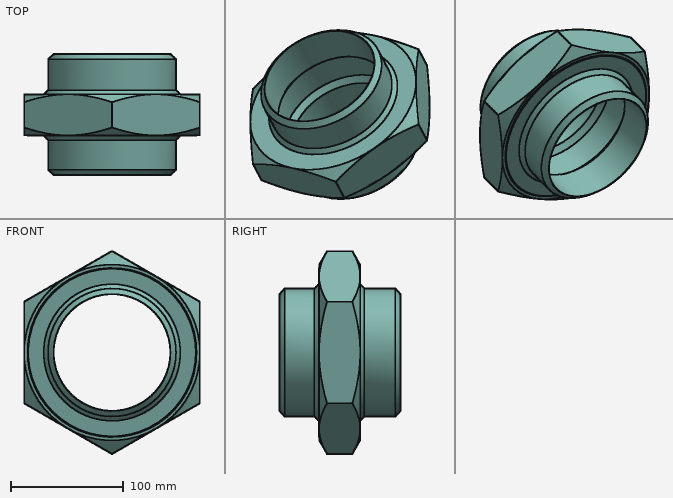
import cadquery as cq
import math

total_length = 108.0
across_flats = 157.0
corner_diameter = 181.13
pipe_diameter = 114.3
bore_diameter = 104.0

tip_land = 0.2
bevel_length = 4.65

collar_diameter = 122.0
collar_length = (collar_diameter - pipe_diameter) / 2

hex_front = -18.6
hex_back = 18.0
hex_chamfer_angle = 30.0
washer_face_base_diameter = 151.0
washer_face_diameter = 149.5
washer_face_height = 0.4

relief_diameter = 114.3
relief_flank = (relief_diameter - bore_diameter) / 2

end = total_length / 2
hex_chamfer_radius = across_flats / 2
corner_radius = corner_diameter / 2
washer_front = hex_front - washer_face_height


def revolve_profile(points):
    """Revolve a closed (radius, y) outline about the Y axis."""
    outline = cq.Workplane("XY").polyline(points).close()
    return outline.revolve(360, (0, 0, 0), (0, 1, 0))


def hexagon():
    """Hexagon with flats facing +X and -X, its corners turned down on both sides."""
    prism = (
        cq.Workplane("XZ", origin=(0, hex_back, 0))
        .polygon(6, across_flats / math.cos(math.radians(30)))
        .extrude(hex_back - hex_front)
        .rotate((0, 0, 0), (0, 1, 0), 30)
    )
    drop = (corner_radius - hex_chamfer_radius) * math.tan(math.radians(hex_chamfer_angle))
    turned_blank = revolve_profile([
        (0, hex_front),
        (hex_chamfer_radius, hex_front),
        (corner_radius, hex_front + drop),
        (corner_radius, hex_back - drop),
        (hex_chamfer_radius, hex_back),
        (0, hex_back),
    ])
    return prism.intersect(turned_blank)


def washer_face():
    """Thin raised disc with a tapered edge on the front of the hexagon."""
    return revolve_profile([
        (0, washer_front),
        (washer_face_diameter / 2, washer_front),
        (washer_face_base_diameter / 2, hex_front),
        (0, hex_front),
    ])


def pipe_end(seat, direction):
    """Pipe end with collar, from the face at y = seat outward along direction (+1 or -1)."""
    pipe_radius = pipe_diameter / 2
    tip_radius = bore_diameter / 2 + tip_land
    return revolve_profile([
        (0, 0),
        (collar_diameter / 2, 0),
        (collar_diameter / 2, seat),
        (pipe_radius, seat + direction * collar_length),
        (pipe_radius, direction * (end - bevel_length)),
        (tip_radius, direction * end),
        (0, direction * end),
    ])


def bore():
    """Through bore with the wider relief in its middle."""
    bore_radius = bore_diameter / 2
    relief_radius = relief_diameter / 2
    return revolve_profile([
        (0, -end),
        (bore_radius, -end),
        (bore_radius, washer_front),
        (relief_radius, washer_front + relief_flank),
        (relief_radius, hex_back - relief_flank),
        (bore_radius, hex_back),
        (bore_radius, end),
        (0, end),
    ])


body = hexagon().union(washer_face())
body = body.union(pipe_end(washer_front, -1)).union(pipe_end(hex_back, 1))
result = body.cut(bore())